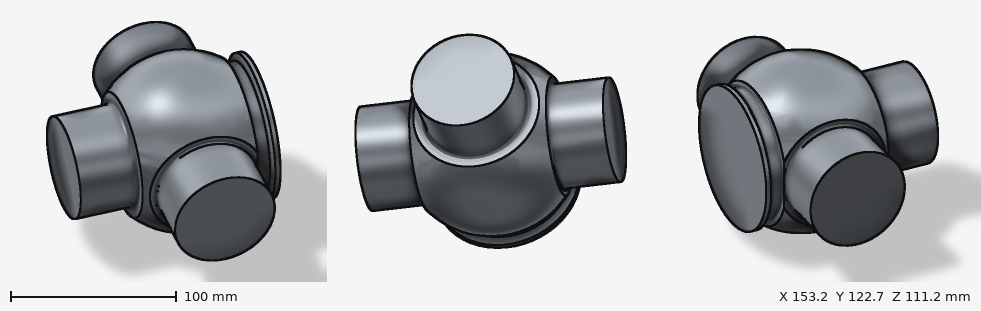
import cadquery as cq
import math

ball_radius = 55.6
side_flat = 42.3
front_flat = 39.7
back_flat = 32.5

pipe_radius = 63.5 / 2
pipe_end = 76.6
side_fillet = 1.4
front_fillet = 3.0

neck_radius = 82.0 / 2
neck_fillet = 0.9
flange_radius = 91.0 / 2
flange_face = 46.1
rim_width = 3.4
taper_width = 1.8


def flared_profile(radius, flat, fillet):
    """Half profile along +Y: starts on the axis and flares onto the flat with a concave fillet."""
    diagonal = fillet * (1 - math.sqrt(0.5))
    return (
        cq.Workplane("XY")
        .lineTo(radius + fillet, 0)
        .lineTo(radius + fillet, flat)
        .threePointArc((radius + diagonal, flat + diagonal), (radius, flat + fillet))
    )


def revolve_about_y(profile):
    return profile.close().revolve(360, (0, 0, 0), (0, 1, 0))


def pipe(flat, fillet, turn):
    """Pipe stub along +Y, turned about Z by the given angle."""
    profile = flared_profile(pipe_radius, flat, fillet).lineTo(pipe_radius, pipe_end).lineTo(0, pipe_end)
    return revolve_about_y(profile).rotate((0, 0, 0), (0, 0, 1), turn)


def flanged_neck():
    rim_start = flange_face - rim_width
    profile = (
        flared_profile(neck_radius, back_flat, neck_fillet)
        .lineTo(neck_radius, rim_start - taper_width)
        .lineTo(flange_radius, rim_start)
        .lineTo(flange_radius, flange_face)
        .lineTo(0, flange_face)
    )
    return revolve_about_y(profile)


def block(half_x, front, back):
    """Box symmetric in X, tall enough for the ball, reaching from -front to back in Y."""
    return (
        cq.Workplane("XY")
        .box(2 * half_x, front + back, 2 * ball_radius, centered=(True, False, True))
        .translate((0, -front, 0))
    )


ball = cq.Workplane("XY").sphere(ball_radius).intersect(block(side_flat, front_flat, back_flat))

side_pipes = pipe(side_flat, side_fillet, 90).union(pipe(side_flat, side_fillet, -90))
side_pipes = side_pipes.intersect(block(pipe_end, front_flat, back_flat))

front_pipe = pipe(front_flat, front_fillet, 180)

result = ball.union(side_pipes).union(front_pipe).union(flanged_neck())